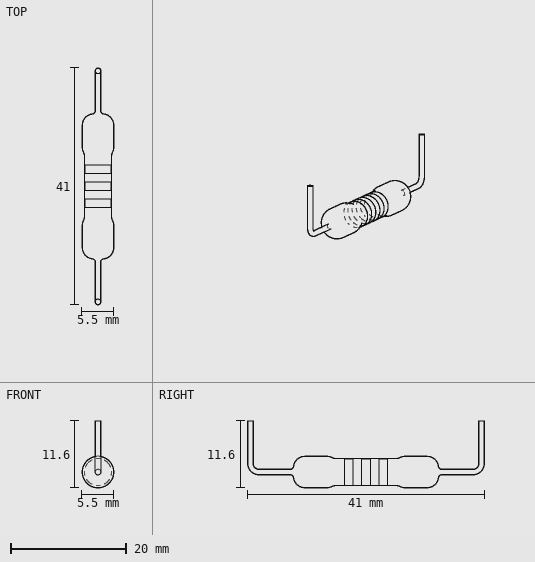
import cadquery as cq
import math

overall_length = 41.0
overall_height = 11.6
cap_diameter = 5.5
lead_diameter = 1.0
cap_radius = cap_diameter / 2
lead_radius = lead_diameter / 2

wide_band_diameter = 4.7
narrow_band_diameter = 4.67
band_width = 1.48
band_count = 7
waist_half_length = band_count * band_width / 2
waist_radius = wide_band_diameter / 2

cap_cylinder_start = 6.72
cap_cylinder_end = 10.58
dome_radius = 2.0
neck_fillet_radius = 0.5

bend_radius = 1.48
lead_offset = overall_length / 2 - lead_radius
lead_top = overall_height - cap_radius


def make_cap():
    """Solid end at +Y, beyond the waist: shoulder, cap, dome and neck fillet."""
    shoulder_length = cap_cylinder_start - waist_half_length
    shoulder_rise = cap_radius - waist_radius
    shoulder_radius = (shoulder_length**2 + shoulder_rise**2) / (4 * shoulder_rise)
    shoulder_middle = (
        (waist_radius + cap_radius) / 2,
        (waist_half_length + cap_cylinder_start) / 2,
    )

    dome_center_x = cap_radius - dome_radius
    fillet_center_x = lead_radius + neck_fillet_radius
    center_gap_x = fillet_center_x - dome_center_x
    center_distance = dome_radius + neck_fillet_radius
    center_gap_y = math.sqrt(center_distance**2 - center_gap_x**2)
    fillet_end = cap_cylinder_end + center_gap_y
    dome_share = dome_radius / center_distance
    dome_end = (
        dome_center_x + center_gap_x * dome_share,
        cap_cylinder_end + center_gap_y * dome_share,
    )

    profile = (
        cq.Workplane("XY")
        .moveTo(0, waist_half_length)
        .lineTo(waist_radius, waist_half_length)
        .radiusArc(shoulder_middle, shoulder_radius)
        .radiusArc((cap_radius, cap_cylinder_start), -shoulder_radius)
        .lineTo(cap_radius, cap_cylinder_end)
        .radiusArc(dome_end, -dome_radius)
        .radiusArc((lead_radius, fillet_end), neck_fillet_radius)
        .lineTo(0, fillet_end)
        .close()
    )
    return profile.revolve(360, (0, 0, 0), (0, 1, 0))


def make_cylinder(diameter, start, length):
    """Cylinder on the body axis running along +Y from start."""
    return (
        cq.Workplane("XZ", origin=(0, start, 0))
        .circle(diameter / 2)
        .extrude(-length)
    )


def make_lead():
    """Wire from the middle of the body to +Y, bent upward to its free end."""
    bend_start = lead_offset - bend_radius
    bend_middle = (
        bend_start + bend_radius * math.sin(math.pi / 4),
        bend_radius * (1 - math.cos(math.pi / 4)),
    )
    path = (
        cq.Workplane("YZ")
        .lineTo(bend_start, 0)
        .threePointArc(bend_middle, (lead_offset, bend_radius))
        .lineTo(lead_offset, lead_top)
    )
    return cq.Workplane("XZ").circle(lead_radius).sweep(path)


half = make_cap().union(make_lead())
waist = make_cylinder(narrow_band_diameter, -waist_half_length, 2 * waist_half_length)
for index in range(0, band_count, 2):
    band_start = -waist_half_length + index * band_width
    waist = waist.union(make_cylinder(wide_band_diameter, band_start, band_width))
result = waist.union(half).union(half.mirror("XZ"))